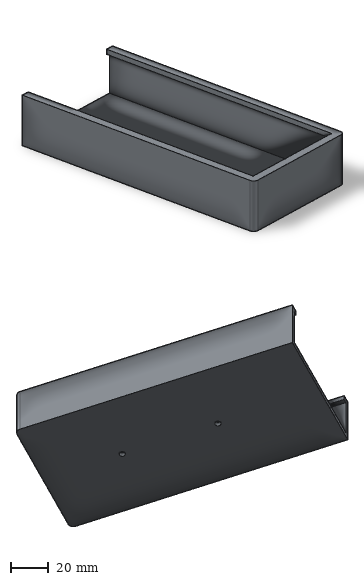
import cadquery as cq

length = 160.0
width = 75.0
height = 30.0

wall = 2.5
floor = 3.0
lip_overhang = 2.4
lip_thickness = 3.0
corner_radius = 3.0

hole_diameter = 3.2
hole_positions = [58.9, 114.0]

rim = wall + lip_overhang


def open_ended_block(side_margin, bottom, top):
    """Block open at X = 0, inset by side_margin from both sides and the closed end."""
    return cq.Workplane("XY").box(
        length - side_margin, width - 2 * side_margin, top - bottom, centered=(False, True, False)
    ).translate((0, 0, bottom))


body = open_ended_block(0, 0, height).edges("|Z and >X").fillet(corner_radius)

cavity = open_ended_block(wall, floor, height - lip_thickness)
opening = open_ended_block(rim, floor, height)

holes = (
    cq.Workplane("XY")
    .pushPoints([(x, 0) for x in hole_positions])
    .circle(hole_diameter / 2)
    .extrude(floor)
)

result = body.cut(cavity).cut(opening).cut(holes)